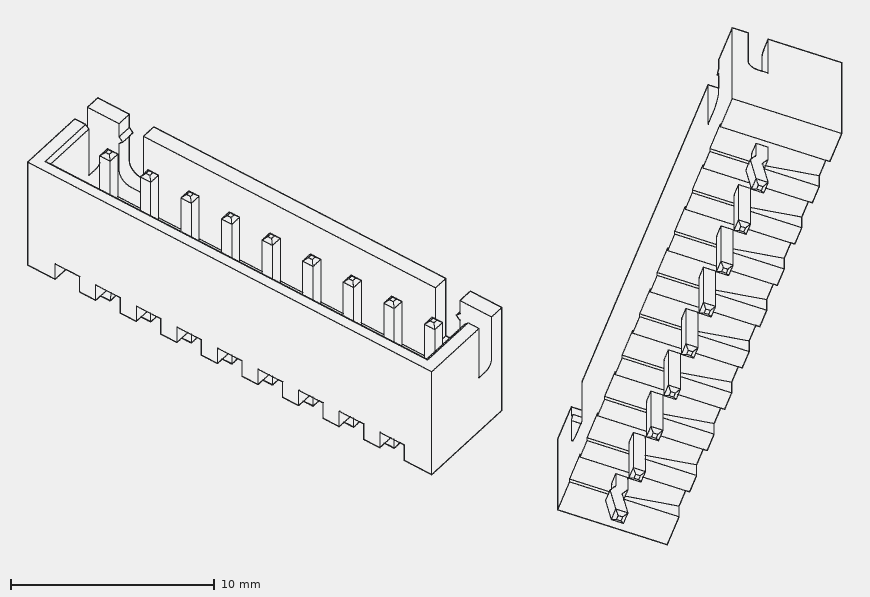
import cadquery as cq

pin_count = 9
pitch = 2.5
pin_width = 0.64
pin_top = 6.5
pin_bottom = -3.4
tip_length = 0.2
tip_flat = pin_width - 2 * tip_length

end_margin = 2.45
length = (pin_count - 1) * pitch + 2 * end_margin
depth = 5.75
height = 7.0
back_y = 2.35
front_y = back_y - depth
end_x = length / 2

floor_z = 2.0
back_wall = 0.85
front_wall = 0.75
end_wall = 0.87
lead_in = 0.2
cavity_front_y = front_y + front_wall
cavity_back_y = back_y - back_wall
cavity_end_x = end_x - end_wall

end_slot_back_y = back_y - back_wall
end_slot_width = 1.03
end_slot_front_y = end_slot_back_y - end_slot_width
end_slot_bottom = 3.65
end_slot_radius = 0.5

tab_width = 1.95
back_slot_width = 1.5
back_slot_bottom = 3.1
back_slot_radius = 0.75

bump_reach = 0.23
bump_top = height - 0.9
bump_peak = bump_top - bump_reach
bump_bottom = bump_peak - bump_reach

relief_width = 1.5
relief_front_height = 1.05
relief_height = 0.28

kink_offset = 0.3
kink_start = -0.9
kink_peak = -1.5

pin_xs = [(i - (pin_count - 1) / 2) * pitch for i in range(pin_count)]


def box(x0, x1, y0, y1, z0, z1):
    return cq.Workplane("XY").box(x1 - x0, y1 - y0, z1 - z0, centered=False).translate((x0, y0, z0))


def both_ends(shape):
    """The shape together with its mirror image at the other end of the housing."""
    return shape.union(shape.mirror("YZ"))


def extrude_along_x(profile, x_center, width):
    """Prism with a closed (Y, Z) profile, centred on x_center."""
    return profile.extrude(width / 2, both=True).translate((x_center, 0, 0))


def cavity():
    pocket = box(-cavity_end_x, cavity_end_x, cavity_front_y, cavity_back_y, floor_z, height)
    rim_x = cavity_end_x + lead_in
    rim_y = cavity_front_y - lead_in
    flare = (
        cq.Workplane("XY", origin=(0, 0, height - lead_in))
        .moveTo(0, (cavity_front_y + cavity_back_y) / 2)
        .rect(2 * cavity_end_x, cavity_back_y - cavity_front_y)
        .workplane(offset=lead_in)
        .moveTo(0, (rim_y + cavity_back_y) / 2)
        .rect(2 * rim_x, cavity_back_y - rim_y)
        .loft(ruled=True)
    )
    return pocket.union(flare)


def end_slots():
    slot = box(-end_x, -cavity_end_x, end_slot_front_y, end_slot_back_y, end_slot_bottom, height)
    return both_ends(slot.edges("|X and >Y and <Z").fillet(end_slot_radius))


def back_slots():
    x0 = -end_x + tab_width
    slot = box(x0, x0 + back_slot_width, cavity_back_y, back_y, back_slot_bottom, height)
    return both_ends(slot.edges("|Y and <X and <Z").fillet(back_slot_radius))


def tab_bumps():
    x0 = -end_x + tab_width
    bump = (
        cq.Workplane("XZ", origin=(0, back_y, 0))
        .moveTo(x0, bump_top)
        .lineTo(x0 + bump_reach, bump_peak)
        .lineTo(x0, bump_bottom)
        .close()
        .extrude(back_wall)
    )
    return both_ends(bump)


def pin_relief(x):
    profile = (
        cq.Workplane("YZ")
        .moveTo(front_y, 0)
        .lineTo(front_y, relief_front_height)
        .lineTo(-pin_width / 2, relief_height)
        .lineTo(back_y, relief_height)
        .lineTo(back_y, 0)
        .close()
    )
    return extrude_along_x(profile, x, relief_width)


def pin_tip(x, z, tip_z):
    """Blunt pyramid from the full pin section at z to a small flat at tip_z."""
    return (
        cq.Workplane("XY", origin=(x, 0, z))
        .rect(pin_width, pin_width)
        .workplane(offset=tip_z - z)
        .rect(tip_flat, tip_flat)
        .loft(ruled=True)
    )


def pin(x, kinked):
    half = pin_width / 2
    shaft_top = pin_top - tip_length
    shaft_bottom = pin_bottom + tip_length
    offset = kink_offset if kinked else 0
    profile = (
        cq.Workplane("YZ")
        .moveTo(-half, shaft_top)
        .lineTo(half, shaft_top)
        .lineTo(half, kink_start)
        .lineTo(half + offset, kink_peak)
        .lineTo(half, shaft_bottom)
        .lineTo(-half, shaft_bottom)
        .lineTo(-half + offset, kink_peak)
        .lineTo(-half, kink_start)
        .close()
    )
    shaft = extrude_along_x(profile, x, pin_width)
    return shaft.union(pin_tip(x, shaft_top, pin_top)).union(pin_tip(x, shaft_bottom, pin_bottom))


housing = box(-end_x, end_x, front_y, back_y, 0, height)
housing = housing.cut(cavity()).cut(end_slots()).cut(back_slots()).union(tab_bumps())
for x in pin_xs:
    housing = housing.cut(pin_relief(x))

result = housing
for x in pin_xs:
    result = result.union(pin(x, kinked=x in (pin_xs[0], pin_xs[-1])))